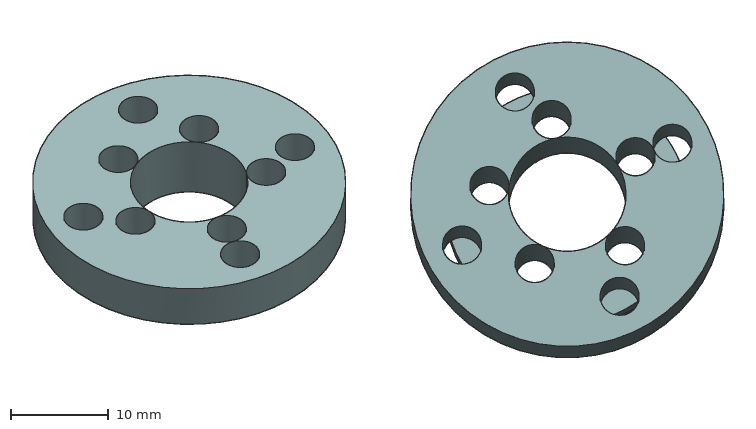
import cadquery as cq

flange_diameter = 32.0
flange_thickness = 5.0
spigot_diameter = 24.8
spigot_height = 2.0
total_height = flange_thickness + spigot_height

bore_diameter = 12.0
hole_diameter = 4.0
outer_ring_radius = 12.0
outer_hole_count = 4
inner_hole_count = 5
inner_ring_start_angle = 3.0
bore_wall = 0.005
inner_ring_radius = (bore_diameter + hole_diameter) / 2 + bore_wall


def hole_ring(ring_radius, start_angle, count, bottom, height):
    """Cylinders evenly spaced on a circle, rising from the given bottom level."""
    return (
        cq.Workplane("XY", origin=(0, 0, bottom))
        .polarArray(ring_radius, start_angle, 360, count)
        .circle(hole_diameter / 2)
        .extrude(height)
    )


spigot = cq.Workplane("XY").circle(spigot_diameter / 2).extrude(spigot_height)
flange = (
    cq.Workplane("XY", origin=(0, 0, spigot_height))
    .circle(flange_diameter / 2)
    .extrude(flange_thickness)
)
bore = cq.Workplane("XY").circle(bore_diameter / 2).extrude(total_height)

inner_holes = hole_ring(inner_ring_radius, inner_ring_start_angle, inner_hole_count, 0, total_height)
outer_holes = hole_ring(outer_ring_radius, 0, outer_hole_count, spigot_height, flange_thickness)

result = spigot.union(flange).cut(bore).cut(inner_holes).cut(outer_holes)